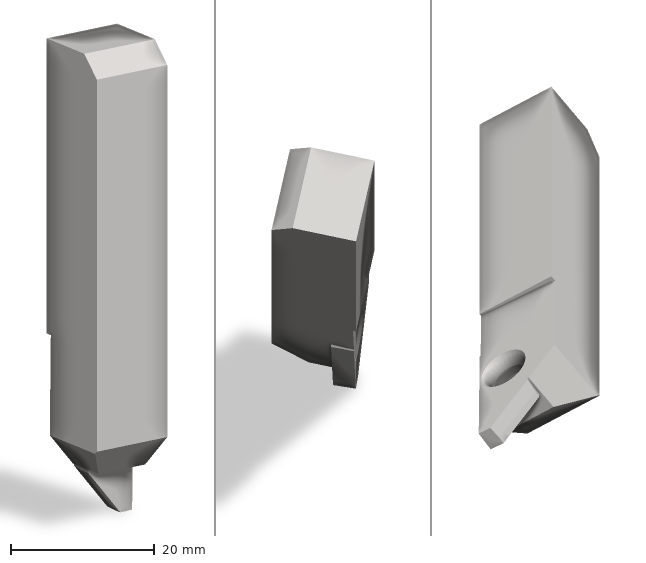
import cadquery as cq
import math

LENGTH = 70.0
SHANK = 12.05
TOP_CHAMFER = 3.0
NOSE_BOTTOM = 7.5
NOSE_START = 12.4
NOSE_CHAMFER = 5.3
SEAT_TOP = 27.0

END_ANGLE = 50.0
INSERT_WIDTH = 7.85
INSERT_HEIGHT = 24.85
INSERT_THICKNESS = 3.2
TIP_FLAT = 1.9
END_FLARE = 0.2
FLARE_DEPTH = 2.1
BORE_DIAMETER = 4.9
SINK_DIAMETER = 7.15
SINK_DEPTH = 1.9

LEAN_Y = 0.045
LEAN_Z = 0.016
INSERT_CENTER = (0.38, 8.25, 12.45)

seat_plane = cq.Plane(
    origin=INSERT_CENTER,
    xDir=(-LEAN_Y, 1, 0),
    normal=(1, LEAN_Y, -LEAN_Z),
)


def insert_outline(tip_flat):
    """Corners of the insert outline, with blunted tips of the given width."""
    half_width = INSERT_WIDTH / 2
    half_height = INSERT_HEIGHT / 2
    slant_rise = (INSERT_WIDTH - TIP_FLAT) * math.tan(math.radians(END_ANGLE))
    flare_rise = (tip_flat - TIP_FLAT) * math.tan(math.radians(END_ANGLE))
    flank_end = half_height - slant_rise + flare_rise
    return [
        (-half_width, half_height),
        (-half_width, -flank_end),
        (half_width - tip_flat, -half_height),
        (half_width, -half_height),
        (half_width, flank_end),
        (tip_flat - half_width, half_height),
    ]


def make_insert_blank():
    """Solid insert plate, also used to cut its pocket.

    The slanted ends flare outward from the face, then run straight to the back.
    """
    back_outline = insert_outline(TIP_FLAT + END_FLARE)
    flared_part = (
        cq.Workplane(seat_plane)
        .polyline(insert_outline(TIP_FLAT))
        .close()
        .workplane(offset=FLARE_DEPTH)
        .polyline(back_outline)
        .close()
        .loft(ruled=True)
    )
    straight_part = (
        cq.Workplane(seat_plane)
        .workplane(offset=FLARE_DEPTH)
        .polyline(back_outline)
        .close()
        .extrude(INSERT_THICKNESS - FLARE_DEPTH)
    )
    return flared_part.union(straight_part)


def make_insert():
    """Insert with a countersunk screw bore through its center."""
    bore = cq.Workplane(seat_plane).circle(BORE_DIAMETER / 2).extrude(INSERT_THICKNESS)
    countersink = (
        cq.Workplane(seat_plane)
        .circle(SINK_DIAMETER / 2)
        .workplane(offset=SINK_DEPTH)
        .circle(BORE_DIAMETER / 2)
        .loft()
    )
    return make_insert_blank().cut(bore).cut(countersink)


def make_seat_relief():
    """Material in front of the leaning seat face, below the seat's top ledge."""
    in_front = cq.Workplane(seat_plane).rect(2 * LENGTH, 2 * LENGTH).extrude(-SHANK)
    below_ledge = cq.Workplane("XY").box(2 * LENGTH, 2 * LENGTH, SEAT_TOP, centered=(True, True, False))
    return in_front.intersect(below_ledge)


def make_holder():
    """Shank with chamfered corners, a slanted nose and the insert pocket."""
    side_outline = [
        (0, NOSE_BOTTOM),
        (SHANK - NOSE_CHAMFER, NOSE_BOTTOM),
        (SHANK, NOSE_BOTTOM + NOSE_CHAMFER),
        (SHANK, LENGTH - TOP_CHAMFER),
        (SHANK - TOP_CHAMFER, LENGTH),
        (0, LENGTH),
    ]
    body = cq.Workplane("XZ").polyline(side_outline).close().extrude(-SHANK)

    nose_rise = NOSE_START - NOSE_BOTTOM
    nose_run = nose_rise / math.tan(math.radians(END_ANGLE))
    nose_corner = [(0, NOSE_BOTTOM), (nose_run, NOSE_BOTTOM), (0, NOSE_START)]
    nose_cut = cq.Workplane("YZ").polyline(nose_corner).close().extrude(SHANK)

    return body.cut(nose_cut).cut(make_seat_relief()).cut(make_insert_blank())


holder = make_holder()
insert = make_insert()

result = cq.Compound.makeCompound([holder.val(), insert.val()])